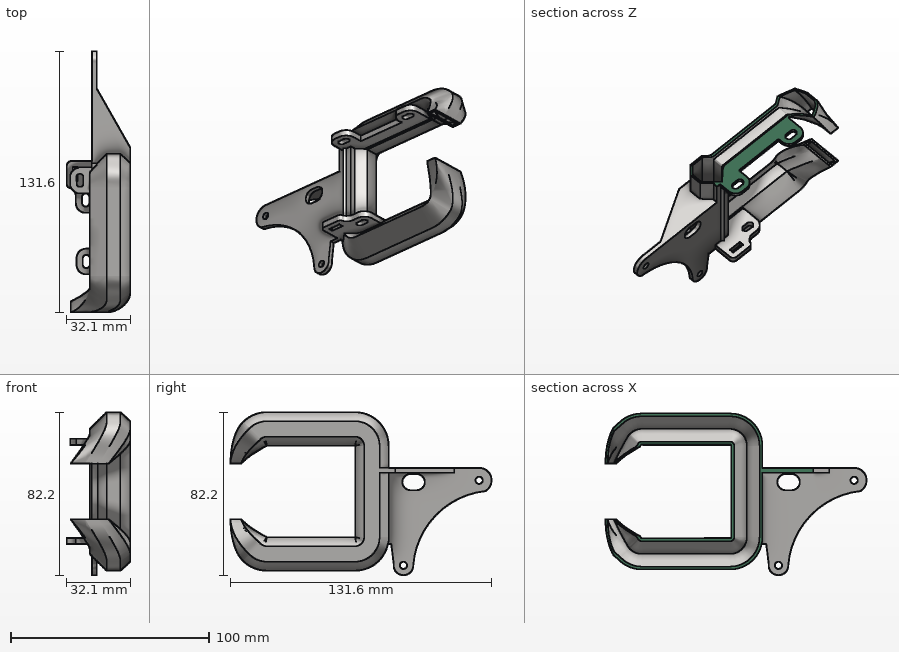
import cadquery as cq
import math


ARM_TOP = 40.0
TUBE_DEPTH = 17.0
WALL = 1.2
SPINE_INNER_Y = 62.8
BEND_START_Y = 18.4
TIP_BEND_ANGLE = 45.0
ARM_INNER_Z = ARM_TOP - TUBE_DEPTH

RIDGE_X = -20.5
FLAT_LEFT_X = -11.9
FLAT_RIGHT_X = -5.0
RIDGE_DEPTH = 8.5
SIDE_BEVEL = 4.6

TIP_Z = 14.0
TIP_LEFT_X = -30.1
TIP_RIGHT_X = -10.9
TIP_DEPTH = 5.4
TIP_START_REACH = 5.0
TIP_END_REACH = 0.6
TIP_INNER_LAG = 0.4
TIP_FORK_REACH = 3.0

PLATE_X = -19.35
PLATE_THICKNESS = 2.5
PLATE_FRONT_Y = 67.2
PLATE_STEP_Y = 75.2
PLATE_TOP = 11.9
EAR_HOLE_DIAMETER = 3.5
REAR_EAR_Y = 125.34
REAR_EAR_RADIUS = 6.3
REAR_EAR_Z = PLATE_TOP - REAR_EAR_RADIUS
REAR_EAR_ARC_END = (128.4, 0.1)
LOWER_EAR_Y = 87.2
LOWER_EAR_Z = -37.25
LOWER_EAR_RADIUS = 5.0
LOWER_EAR_TANGENT_ANGLE = 8.0
NECK_TOP_Y = 81.0
BACK_ARC_MIDDLE = (105.0, -10.6)
WINDOW_Y = 92.3
WINDOW_Z = 4.7
WINDOW_LENGTH = 11.2
WINDOW_HEIGHT = 8.0

WEB_REAR_Y = 112.7
WEB_SIDE_Y = 83.0

BRACKET_INNER_Z = 23.35
BRACKET_THICKNESS = 3.2
BRACKET_OUTER_Z = BRACKET_INNER_Z + BRACKET_THICKNESS
BRACKET_ROOT_X = -12.5
SLOT_WIDTH = 3.5
SLOT_TRAVEL = 3.1
TAB_RADIUS = 5.0
UPPER_REAR_TAB = (-25.35, 66.45)
UPPER_FRONT_TAB = (-22.15, 25.6)
STRIP_X = -19.8
LOWER_TAB = (-22.5, 56.6)
LOWER_LEFT_X = -32.05
LOWER_REAR_Y = 76.3
LOWER_REAR_CORNER_RADIUS = 2.5
LOWER_FRONT_CORNER_RADIUS = 2.0
LOWER_HOLLOW_RADIUS = 4.3
LOWER_HOLLOW_Y = 58.5
STRAP_SLOT = (-27.75, 69.7)
STRAP_SLOT_WIDTH = 2.3
STRAP_SLOT_LENGTH = 7.0


def tube_section(inset):
    """Corners (x, depth from the inner face) of the tube section, moved inwards by inset."""
    corners = [
        (RIDGE_X, RIDGE_DEPTH),
        (FLAT_LEFT_X, TUBE_DEPTH),
        (FLAT_RIGHT_X, TUBE_DEPTH),
        (0, TUBE_DEPTH - SIDE_BEVEL),
        (0, SIDE_BEVEL),
        (FLAT_RIGHT_X, 0),
        (FLAT_LEFT_X, 0),
    ]
    moved = []
    for i, (x, d) in enumerate(corners):
        before = corners[i - 1]
        after = corners[(i + 1) % len(corners)]
        angle_in = math.atan2(d - before[1], x - before[0])
        angle_out = math.atan2(after[1] - d, after[0] - x)
        middle = (angle_in + angle_out) / 2
        if abs(angle_in - angle_out) > math.pi:
            middle += math.pi
        reach = inset / math.cos(middle - angle_in)
        moved.append((x + reach * math.sin(middle), d - reach * math.cos(middle)))
    return moved


def bezier(*points):
    return cq.Edge.makeBezier([cq.Vector(*point) for point in points])


def tip(inset):
    """Upper tip: each section corner runs from the end of the bend to the flat tip rectangle.

    The ridge forks to both left corners of the rectangle, so a triangular face closes its side.
    """
    section = tube_section(inset)
    angle = math.radians(TIP_BEND_ANGLE)
    left = TIP_LEFT_X + inset
    right = TIP_RIGHT_X - inset
    front = inset
    back = TIP_DEPTH - inset
    flat_left = FLAT_LEFT_X + TIP_RIGHT_X
    flat_right = FLAT_RIGHT_X + TIP_RIGHT_X
    ends = [
        (left, front), (flat_left, front), (flat_right, front), (right, front),
        (right, back), (flat_right, back), (flat_left, back),
    ]
    rails = []
    for (x, d), (end_x, end_y) in zip(section, ends):
        start = (x, BEND_START_Y - d * math.sin(angle), ARM_INNER_Z + d * math.cos(angle))
        reach = min(d, TIP_START_REACH)
        lag = TIP_INNER_LAG * (1 - d / TUBE_DEPTH)
        leaving = (x, start[1] - reach * math.cos(angle), start[2] - reach * math.sin(angle))
        arriving = (
            end_x + TIP_END_REACH * (x - end_x),
            end_y + lag * (leaving[1] - end_y),
            TIP_Z + TIP_END_REACH * (leaving[2] - TIP_Z),
        )
        rails.append(bezier(start, leaving, arriving, (end_x, end_y, TIP_Z)))
    ridge_start = rails[0].startPoint().toTuple()
    fork_step = TIP_FORK_REACH * math.sin(angle)
    fork_control = (ridge_start[0], ridge_start[1] - fork_step, ridge_start[2] - fork_step)
    rails.append(bezier(ridge_start, fork_control, (left, back, TIP_Z)))
    faces = [cq.Face.makeRuledSurface(a, b) for a, b in zip(rails, rails[1:])]
    fork_end = cq.Edge.makeLine(rails[-1].endPoint(), rails[0].endPoint())
    fork = [rails[0], fork_end, rails[-1]]
    faces.append(cq.Face.makeNSidedSurface(fork, []))
    start_points = [rail.startPoint() for rail in rails[:-1]]
    end_points = [rail.endPoint() for rail in rails]
    for points in (start_points, end_points):
        faces.append(cq.Face.makeFromWires(cq.Wire.makePolygon(points, close=True)))
    return cq.Workplane(cq.Solid.makeSolid(cq.Shell.makeShell(faces)))


def upper_half(inset):
    """Upper half of the tube, from the middle of the spine to the arm tip."""
    section = tube_section(inset)
    spine = (
        cq.Workplane("XY").polyline([(x, SPINE_INNER_Y + d) for x, d in section]).close()
        .extrude(ARM_INNER_Z)
    )
    upright = [(x, ARM_INNER_Z + d) for x, d in section]
    corner = (
        cq.Workplane("XZ", origin=(0, SPINE_INNER_Y, 0)).polyline(upright).close()
        .revolve(90, (0, ARM_INNER_Z), (-1, ARM_INNER_Z))
    )
    arm = (
        cq.Workplane("XZ", origin=(0, SPINE_INNER_Y, 0)).polyline(upright).close()
        .extrude(SPINE_INNER_Y - BEND_START_Y)
    )
    bend = (
        cq.Workplane("XZ", origin=(0, BEND_START_Y, 0)).polyline(upright).close()
        .revolve(TIP_BEND_ANGLE, (0, ARM_INNER_Z), (1, ARM_INNER_Z))
    )
    return spine.union(corner).union(arm).union(bend).union(tip(inset))


def tube(inset):
    half = upper_half(inset)
    return half.union(half.mirror("XY"))


def plate():
    slope = math.radians(LOWER_EAR_TANGENT_ANGLE)
    neck_end = (
        LOWER_EAR_Y - LOWER_EAR_RADIUS * math.cos(slope),
        LOWER_EAR_Z + LOWER_EAR_RADIUS * math.sin(slope),
    )
    lower_ear_bottom = (LOWER_EAR_Y, LOWER_EAR_Z - LOWER_EAR_RADIUS)
    lower_ear_back = (LOWER_EAR_Y + LOWER_EAR_RADIUS, LOWER_EAR_Z)
    outline = (
        cq.Workplane("YZ", origin=(PLATE_X, 0, 0))
        .moveTo(REAR_EAR_Y, PLATE_TOP)
        .lineTo(PLATE_STEP_Y, PLATE_TOP)
        .lineTo(PLATE_STEP_Y, BRACKET_OUTER_Z)
        .lineTo(PLATE_FRONT_Y, BRACKET_OUTER_Z)
        .lineTo(PLATE_FRONT_Y, -BRACKET_OUTER_Z)
        .lineTo(NECK_TOP_Y, -BRACKET_OUTER_Z)
        .lineTo(*neck_end)
        .threePointArc(lower_ear_bottom, lower_ear_back)
        .threePointArc(BACK_ARC_MIDDLE, REAR_EAR_ARC_END)
        .threePointArc((REAR_EAR_Y + REAR_EAR_RADIUS, REAR_EAR_Z), (REAR_EAR_Y, PLATE_TOP))
        .close()
        .extrude(PLATE_THICKNESS)
    )
    holes = (
        cq.Workplane("YZ", origin=(PLATE_X, 0, 0))
        .pushPoints([(REAR_EAR_Y, REAR_EAR_Z), (LOWER_EAR_Y, LOWER_EAR_Z)])
        .circle(EAR_HOLE_DIAMETER / 2)
        .extrude(PLATE_THICKNESS)
    )
    window = (
        cq.Workplane("YZ", origin=(PLATE_X, WINDOW_Y, WINDOW_Z))
        .slot2D(WINDOW_LENGTH, WINDOW_HEIGHT)
        .extrude(PLATE_THICKNESS)
    )
    return outline.cut(holes).cut(window)


def spine_rib():
    """Thickening of the plate's front edge that fills the gap to the spine's bevel."""
    width = FLAT_LEFT_X - PLATE_X
    depth = RIDGE_DEPTH / 2
    height = 2 * BRACKET_INNER_Z
    rib = cq.Workplane("XY").box(width, depth, height, centered=(False, False, True))
    return rib.translate((PLATE_X, PLATE_FRONT_Y, 0))


def web():
    start_x = PLATE_X + PLATE_THICKNESS
    outline = [(start_x, PLATE_STEP_Y), (start_x, WEB_REAR_Y), (0, WEB_SIDE_Y), (0, PLATE_STEP_Y)]
    return (
        cq.Workplane("XY", origin=(0, 0, PLATE_TOP - PLATE_THICKNESS))
        .polyline(outline).close().extrude(PLATE_THICKNESS)
    )


def bracket_plane(bottom):
    return cq.Workplane("XY", origin=(0, 0, bottom))


def tab(bottom, center):
    """Round-ended tab reaching from the arm to just past its slot."""
    x, y = center
    width = SLOT_TRAVEL + 2 * TAB_RADIUS
    end = bracket_plane(bottom).center(x, y).slot2D(width, 2 * TAB_RADIUS, 90).extrude(BRACKET_THICKNESS)
    root_length = BRACKET_ROOT_X - x
    root = (
        bracket_plane(bottom).center(x + root_length / 2, y).rect(root_length, width)
        .extrude(BRACKET_THICKNESS)
    )
    return end.union(root)


def tab_slot(bottom, center):
    return (
        bracket_plane(bottom).center(*center).slot2D(SLOT_TRAVEL + SLOT_WIDTH, SLOT_WIDTH, 90)
        .extrude(BRACKET_THICKNESS)
    )


def upper_bracket():
    bottom = BRACKET_INNER_Z
    tabs = (UPPER_REAR_TAB, UPPER_FRONT_TAB)
    body = (
        bracket_plane(bottom)
        .moveTo(STRIP_X, UPPER_FRONT_TAB[1])
        .lineTo(BRACKET_ROOT_X, UPPER_FRONT_TAB[1])
        .lineTo(BRACKET_ROOT_X, UPPER_REAR_TAB[1])
        .lineTo(STRIP_X, UPPER_REAR_TAB[1])
        .close()
        .extrude(BRACKET_THICKNESS)
    )
    for center in tabs:
        body = body.union(tab(bottom, center))
    for center in tabs:
        body = body.cut(tab_slot(bottom, center))
    return body


def lower_bracket():
    bottom = -BRACKET_OUTER_Z
    tab_left = LOWER_TAB[0] - TAB_RADIUS
    rear_corner = LOWER_REAR_CORNER_RADIUS
    hollow_x = tab_left - LOWER_HOLLOW_RADIUS
    corner_x = LOWER_LEFT_X + LOWER_FRONT_CORNER_RADIUS
    center_distance = LOWER_HOLLOW_RADIUS + LOWER_FRONT_CORNER_RADIUS
    corner_y = LOWER_HOLLOW_Y + math.sqrt(center_distance**2 - (corner_x - hollow_x) ** 2)
    share = LOWER_HOLLOW_RADIUS / center_distance
    touch_x = hollow_x + share * (corner_x - hollow_x)
    touch_y = LOWER_HOLLOW_Y + share * (corner_y - LOWER_HOLLOW_Y)
    rear = (
        bracket_plane(bottom)
        .moveTo(BRACKET_ROOT_X, LOWER_REAR_Y)
        .lineTo(LOWER_LEFT_X + rear_corner, LOWER_REAR_Y)
        .tangentArcPoint((-rear_corner, -rear_corner))
        .lineTo(LOWER_LEFT_X, corner_y)
        .tangentArcPoint((touch_x, touch_y), relative=False)
        .tangentArcPoint((tab_left, LOWER_HOLLOW_Y), relative=False)
        .lineTo(tab_left, LOWER_TAB[1])
        .lineTo(BRACKET_ROOT_X, LOWER_TAB[1])
        .close()
        .extrude(BRACKET_THICKNESS)
    )
    strap_slot = (
        bracket_plane(bottom).center(*STRAP_SLOT).rect(STRAP_SLOT_WIDTH, STRAP_SLOT_LENGTH)
        .extrude(BRACKET_THICKNESS)
    )
    return rear.union(tab(bottom, LOWER_TAB)).cut(strap_slot).cut(tab_slot(bottom, LOWER_TAB))


body = tube(0).union(plate()).union(spine_rib()).union(web()).union(upper_bracket()).union(lower_bracket())
result = body.cut(tube(WALL))